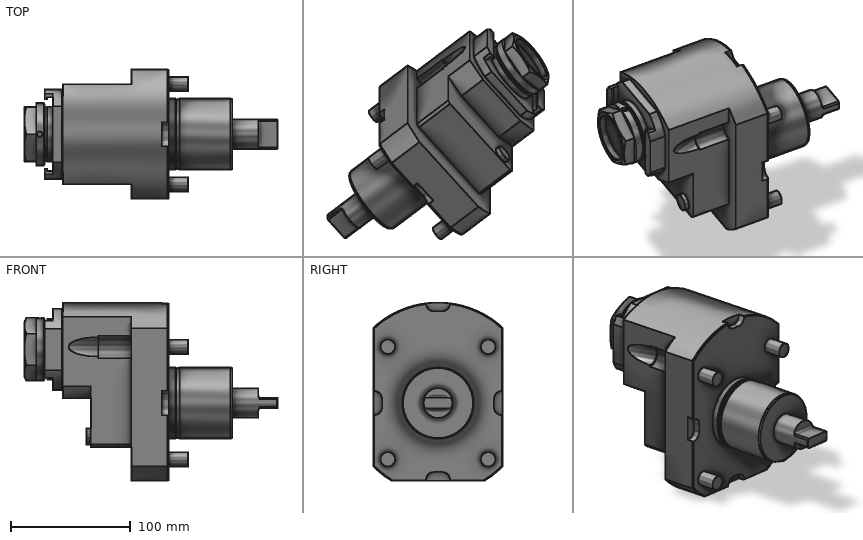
import cadquery as cq
import math


flange_half_width = 54.04
flange_thickness = 31.3
flange_top = 84.0
flange_top_radius = 79.0
flange_bottom = -65.0
flange_corner_radius = 75.5
flange_chamfer_length = 1.3
flange_chamfer_depth = 0.6

slot_width = 20.3
slot_corner_radius = 7.0
slot_length = 6.0
slot_depth = 7.5

housing_half_width = 41.9
upper_front_x = -88.6
upper_bottom = 3.8
upper_bottom_half_width = 24.5
upper_bottom_slope = 30.0
lower_front_x = -65.1
lower_bottom = -36.8
lower_corner_chamfer = 2.5

plug_diameter = 14.0
plug_height = 3.8
plug_y = -27.5
plug_z = -28.0

bolt_diameter = 12.0
bolt_length = 16.0
bolt_y = 41.9
bolt_z = 47.0

relief_radius = 9.41
relief_length = 28.0
relief_tip_radius = 8.15
relief_tip_length = 24.5

shank_radius = 29.8
shank_length = 52.9
shank_chamfer = 1.7
shank_chamfer_depth = 0.6
seal_start = 5.0
seal_gap = 1.0
seal_width = 2.7
seal_floor_radius = 28.5
seal_edge_radius = 29.0
seal_radius = 29.5

shaft_radius = 12.5
shaft_end = 74.7
tang_end = 90.7
tang_half_thickness = 4.34
tang_flat_half_width = 10.8
tang_root_fillet = 2.0
tang_end_chamfer = 0.6

spindle_z = 44.8
plate_gap = 0.8
plate_seat_radius = 31.7
plate_front_x = -96.9
plate_half_width = 37.5
plate_half_height = 34.0
plate_corner_radius = 41.2

rail_front_x = -103.8
rail_lip_thickness = 2.1
rail_half_length = 24.0
rail_wall_y = 30.7
rail_lip_y = 29.0

nose_front_x = -101.7
nose_radius = 25.4
nose_half_width = 23.0

nut_front_x = -120.8
collar_front_x = -110.8
collar_back_x = -103.8
hex_across_flats = 45.7
hex_chamfer_depth = 1.7
hex_face_radius = 22.5
collar_radius = 26.2
collar_chamfer_length = 0.8
collar_chamfer_depth = 1.5
nut_neck_radius = 22.5
nut_bore_radius = 19.2
nut_bore_depth = 6.0
nut_bore_chamfer = 0.6
lock_hole_diameter = 4.7
lock_hole_depth = 2.5
lock_hole_x = -107.9


def plane_at(x):
    """Sketch plane facing +X, with local x along Y and local y along Z."""
    return cq.Workplane("YZ", origin=(x, 0, 0))


def cylinder(x_start, x_end, radius, y=0.0, z=0.0):
    return plane_at(x_start).center(y, z).circle(radius).extrude(x_end - x_start)


def box(x_start, x_end, y_start, y_end, z_start, z_end):
    size = (x_end - x_start, y_end - y_start, z_end - z_start)
    return cq.Workplane("XY").box(*size, centered=False).translate((x_start, y_start, z_start))


def revolve_about(points, z):
    """Turn a closed (x, radius) outline about an axis along X at height z."""
    return (
        cq.Workplane("XZ", origin=(0, 0, z))
        .polyline(points)
        .close()
        .revolve(360, (0, 0, 0), (1, 0, 0))
    )


def crown_height(y):
    """Height of the round top of the flange and the gear housing at y."""
    return flange_top - flange_top_radius + math.sqrt(flange_top_radius**2 - y**2)


def make_flange():
    half = flange_half_width
    corner_z = -math.sqrt(flange_corner_radius**2 - half**2)
    corner_y = math.sqrt(flange_corner_radius**2 - flange_bottom**2)
    middle = math.atan2(corner_z + flange_bottom, half + corner_y)
    middle_y = flange_corner_radius * math.cos(middle)
    middle_z = flange_corner_radius * math.sin(middle)
    shoulder_z = crown_height(half)
    flange = (
        plane_at(-flange_thickness)
        .moveTo(-half, shoulder_z)
        .lineTo(-half, corner_z)
        .threePointArc((-middle_y, middle_z), (-corner_y, flange_bottom))
        .lineTo(corner_y, flange_bottom)
        .threePointArc((middle_y, middle_z), (half, corner_z))
        .lineTo(half, shoulder_z)
        .threePointArc((0, flange_top), (-half, shoulder_z))
        .close()
        .extrude(flange_thickness)
    )
    return flange.faces(">X").chamfer(flange_chamfer_length, flange_chamfer_depth)


def make_slot(angle, floor_distance):
    """Rounded alignment slot, open outwards, at an angle around the shank axis."""
    outer = floor_distance + 2 * slot_corner_radius
    slot = box(-slot_length, 0, -slot_width / 2, slot_width / 2, floor_distance, outer)
    slot = slot.edges("|X and <Z").fillet(slot_corner_radius)
    return slot.rotate((0, 0, 0), (1, 0, 0), angle)


def make_gear_housing():
    half = housing_half_width
    slope_rise = (half - upper_bottom_half_width) * math.tan(math.radians(upper_bottom_slope))
    side_bottom = upper_bottom + slope_rise
    side_top = crown_height(half)
    upper = (
        plane_at(upper_front_x)
        .moveTo(-half, side_top)
        .lineTo(-half, side_bottom)
        .lineTo(-upper_bottom_half_width, upper_bottom)
        .lineTo(upper_bottom_half_width, upper_bottom)
        .lineTo(half, side_bottom)
        .lineTo(half, side_top)
        .threePointArc((0, flange_top), (-half, side_top))
        .close()
        .extrude(-flange_thickness - upper_front_x)
    )
    lower = box(lower_front_x, -flange_thickness, -half, half, lower_bottom, spindle_z)
    lower = lower.edges("|X and <Z").chamfer(lower_corner_chamfer)
    plug = cylinder(lower_front_x - plug_height, lower_front_x, plug_diameter / 2, plug_y, plug_z)
    return upper.union(lower).union(plug)


def make_relief(side):
    """Half-round groove on one housing side, running out through a tilted round tip."""
    y = side * housing_half_width
    tip_x = -flange_thickness - relief_length
    groove = cylinder(tip_x, -flange_thickness, relief_radius, y, bolt_z)
    tilt = math.degrees(math.asin(relief_tip_radius / relief_tip_length))
    reach = 2 * relief_tip_length
    tip = cylinder(-reach, reach, relief_tip_radius).rotate((0, 0, 0), (0, 0, 1), -side * tilt)
    tip = tip.translate((tip_x, y, bolt_z))
    depth = 2 * relief_radius
    tip = tip.intersect(
        box(tip_x - relief_tip_length, tip_x, y - depth, y + depth, bolt_z - depth, bolt_z + depth)
    )
    return groove.union(tip)


def make_shank():
    ring_start = seal_start + seal_gap
    ring_end = ring_start + seal_width
    profile = (
        cq.Workplane("XZ")
        .moveTo(0, 0)
        .lineTo(0, shank_radius)
        .lineTo(seal_start, shank_radius)
        .lineTo(seal_start, seal_floor_radius)
        .lineTo(ring_start, seal_floor_radius)
        .lineTo(ring_start, seal_edge_radius)
        .threePointArc(((ring_start + ring_end) / 2, seal_radius), (ring_end, seal_edge_radius))
        .lineTo(ring_end, shank_radius)
        .lineTo(shank_length - shank_chamfer, shank_radius)
        .lineTo(shank_length, shank_radius - shank_chamfer_depth)
        .lineTo(shank_length, 0)
        .close()
    )
    return profile.revolve(360, (0, 0, 0), (1, 0, 0))


def make_tang_cutter():
    """Mill one flat of the tang from above, with bevelled sides and a rounded root."""
    overhang = 2 * shaft_radius
    bevel_end = tang_half_thickness - (overhang - tang_flat_half_width)
    cutter = (
        plane_at(shaft_end)
        .moveTo(-overhang, overhang)
        .lineTo(-overhang, bevel_end)
        .lineTo(-tang_flat_half_width, tang_half_thickness)
        .lineTo(tang_flat_half_width, tang_half_thickness)
        .lineTo(overhang, bevel_end)
        .lineTo(overhang, overhang)
        .close()
        .extrude(tang_end - shaft_end)
    )
    root = cutter.faces("<X").edges("not(|Z or >Z)")
    return cutter.newObject([cutter.val().fillet(tang_root_fillet, root.vals())])


def make_drive_shaft():
    shaft = cylinder(shank_length, tang_end, shaft_radius).faces(">X").chamfer(tang_end_chamfer)
    cutter = make_tang_cutter()
    shaft = shaft.cut(cutter).cut(cutter.rotate((0, 0, 0), (1, 0, 0), 180))
    return shaft


def make_bolts():
    bolts = plane_at(0).rect(2 * bolt_y, 2 * bolt_z, forConstruction=True).vertices()
    return bolts.circle(bolt_diameter / 2).extrude(bolt_length)


def make_rail(side):
    """Hooked rail along Z: a wall with an inward lip at its front."""
    wall_back = plate_front_x
    lip_back = rail_front_x + rail_lip_thickness
    rail = (
        cq.Workplane("XY", origin=(0, 0, spindle_z - rail_half_length))
        .moveTo(wall_back, side * plate_half_width)
        .lineTo(rail_front_x, side * plate_half_width)
        .lineTo(rail_front_x, side * rail_lip_y)
        .lineTo(lip_back, side * rail_lip_y)
        .lineTo(lip_back, side * rail_wall_y)
        .lineTo(wall_back, side * rail_wall_y)
        .close()
        .extrude(2 * rail_half_length)
    )
    return rail.intersect(cylinder(rail_front_x, wall_back, plate_corner_radius, 0, spindle_z))


def make_spindle_face():
    plate_back_x = upper_front_x - plate_gap
    plate = cylinder(plate_front_x, plate_back_x, plate_corner_radius, 0, spindle_z)
    plate = plate.intersect(
        box(
            plate_front_x,
            plate_back_x,
            -plate_half_width,
            plate_half_width,
            spindle_z - plate_half_height,
            spindle_z + plate_half_height,
        )
    )
    seat = cylinder(plate_back_x, upper_front_x, plate_seat_radius, 0, spindle_z)
    nose = cylinder(nose_front_x, plate_front_x, nose_radius, 0, spindle_z)
    nose = nose.intersect(
        box(
            nose_front_x,
            plate_front_x,
            -nose_half_width,
            nose_half_width,
            spindle_z - nose_radius,
            spindle_z + nose_radius,
        )
    )
    face = plate.union(seat).union(nose)
    for side in (-1, 1):
        face = face.union(make_rail(side))
    return face


def make_holder():
    holder = make_flange().union(make_gear_housing())
    for side in (-1, 1):
        holder = holder.cut(make_relief(side))
    side_floor = flange_half_width - slot_depth
    slots = (
        (0, flange_top - slot_depth),
        (90, side_floor),
        (180, -flange_bottom - slot_depth),
        (270, side_floor),
    )
    for angle, floor_distance in slots:
        holder = holder.cut(make_slot(angle, floor_distance))
    for feature in (make_shank(), make_drive_shaft(), make_bolts(), make_spindle_face()):
        holder = holder.union(feature)
    return holder


def make_nut():
    across_corners = hex_across_flats / math.cos(math.radians(30))
    hexagon = (
        plane_at(nut_front_x)
        .transformed(rotate=(0, 0, 90))
        .polygon(6, across_corners)
        .extrude(collar_front_x - nut_front_x)
        .translate((0, 0, spindle_z))
    )
    corner_radius = across_corners / 2
    envelope = revolve_about(
        [
            (nut_front_x, 0),
            (nut_front_x, hex_face_radius),
            (nut_front_x + hex_chamfer_depth, corner_radius),
            (collar_front_x, corner_radius),
            (collar_front_x, 0),
        ],
        spindle_z,
    )
    collar = revolve_about(
        [
            (collar_front_x, 0),
            (collar_front_x, collar_radius),
            (collar_back_x - collar_chamfer_length, collar_radius),
            (collar_back_x, collar_radius - collar_chamfer_depth),
            (collar_back_x, nut_neck_radius),
            (nose_front_x, nut_neck_radius),
            (nose_front_x, 0),
        ],
        spindle_z,
    )
    bore = revolve_about(
        [
            (nut_front_x, 0),
            (nut_front_x, nut_bore_radius + nut_bore_chamfer),
            (nut_front_x + nut_bore_chamfer, nut_bore_radius),
            (nut_front_x + nut_bore_depth, nut_bore_radius),
            (nut_front_x + nut_bore_depth, 0),
        ],
        spindle_z,
    )
    lock_hole = (
        cq.Workplane("XY", origin=(lock_hole_x, 0, spindle_z + collar_radius))
        .circle(lock_hole_diameter / 2)
        .extrude(-lock_hole_depth)
    )
    return hexagon.intersect(envelope).union(collar).cut(bore).cut(lock_hole)


holder = make_holder()
nut = make_nut()
result = cq.Compound.makeCompound([holder.val(), nut.val()])